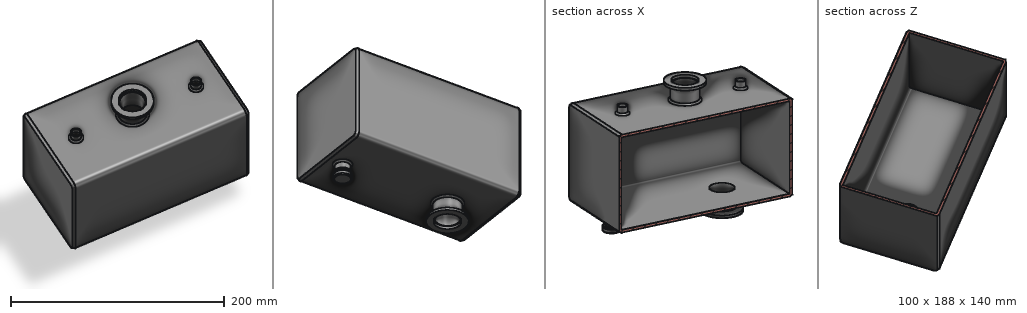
import cadquery as cq
import math

TANK_LENGTH = 188.0
TANK_WIDTH = 100.0
WALL = 3.0
TUBE_CORNER_RADIUS = 6.0
END_INSET = 1.7
END_CORNER_RADIUS = 5.0
WELD_LEG = 1.9

OVERALL_HEIGHT = 140.0
FLANGE_DIAMETER = 40.0
FLANGE_RIM = 2.8
FLANGE_TAPER_ANGLE = 15.0
NECK_DIAMETER = 28.0
NECK_BORE = 24.0
SEAT_DIAMETER = 26.1
SEAT_DEPTH = 3.0
TOP_FLANGE_Y = -3.8
BOTTOM_FLANGE_Y = -43.8

STUB_DIAMETER = 10.2
STUB_BORE = 8.0
STUB_HEIGHT = 7.9
STUB_OFFSET_Y = 64.0

PLUG_Y = 75.5
PLUG_DIAMETER = 15.0
PLUG_SHANK = 7.9
PLUG_NECK_DIAMETER = 12.0
PLUG_NECK = 3.0
PLUG_HEAD_DIAMETER = 18.0
PLUG_HEAD = 5.5
PLUG_CHAMFER = 1.1

HALF_WIDTH = TANK_WIDTH / 2
TUBE_LENGTH = TANK_LENGTH - 2 * WALL
FLANGE_HEIGHT = OVERALL_HEIGHT / 2 - HALF_WIDTH


def bar_along_y(width, length, corner_radius):
    """Square bar centred on the origin with its long edges rounded."""
    return cq.Workplane("XY").box(width, length, width).edges("|Y").fillet(corner_radius)


def revolved(profile):
    """Solid of revolution about Z from (radius, height) points that start and end on the axis."""
    return cq.Workplane("XZ").polyline(profile).close().revolve(360, (0, 0), (0, 1))


def on_top(shape, y):
    """Move a fitting built on Z = 0 onto the top wall."""
    return shape.translate((0, y, HALF_WIDTH))


def on_bottom(shape, y):
    """Turn a fitting built on Z = 0 over and move it onto the bottom wall."""
    return shape.rotate((0, 0, 0), (1, 0, 0), 180).translate((0, y, -HALF_WIDTH))


def welded_base(diameter):
    """Profile start: from the inner face of the wall up to the top of the weld cone."""
    radius = diameter / 2
    return [
        (0, -WALL),
        (radius, -WALL),
        (radius + WELD_LEG, 0),
        (radius, WELD_LEG),
    ]


def bore(diameter, height):
    """Cutter for a round passage from the tank cavity to the given height."""
    return cq.Workplane("XY").workplane(offset=-WALL).circle(diameter / 2).extrude(height + WALL)


def end_plate():
    """End plate whose base sits on Z = 0 and whose sides lean inward."""
    lean = math.degrees(math.atan(END_INSET / WALL))
    base = cq.Sketch().rect(TANK_WIDTH, TANK_WIDTH).vertices().fillet(END_CORNER_RADIUS)
    return cq.Workplane("XY").placeSketch(base).extrude(WALL, taper=lean)


def tank():
    body = bar_along_y(TANK_WIDTH, TUBE_LENGTH, TUBE_CORNER_RADIUS)
    for turn in (-90, 90):
        plate = end_plate().translate((0, 0, TUBE_LENGTH / 2))
        body = body.union(plate.rotate((0, 0, 0), (1, 0, 0), turn))
    return body


def cavity():
    return bar_along_y(TANK_WIDTH - 2 * WALL, TUBE_LENGTH, TUBE_CORNER_RADIUS - WALL)


def flange_neck():
    rim_radius = FLANGE_DIAMETER / 2
    neck_radius = NECK_DIAMETER / 2
    rim_base = FLANGE_HEIGHT - FLANGE_RIM
    taper = (rim_radius - neck_radius) * math.tan(math.radians(FLANGE_TAPER_ANGLE))
    return revolved(welded_base(NECK_DIAMETER) + [
        (neck_radius, rim_base - taper),
        (rim_radius, rim_base),
        (rim_radius, FLANGE_HEIGHT),
        (0, FLANGE_HEIGHT),
    ])


def flange_passage():
    seat = (
        cq.Workplane("XY")
        .workplane(offset=FLANGE_HEIGHT - SEAT_DEPTH)
        .circle(SEAT_DIAMETER / 2)
        .extrude(SEAT_DEPTH)
    )
    return bore(NECK_BORE, FLANGE_HEIGHT).union(seat)


def stub():
    return revolved(welded_base(STUB_DIAMETER) + [
        (STUB_DIAMETER / 2, STUB_HEIGHT),
        (0, STUB_HEIGHT),
    ])


def plug():
    head_radius = PLUG_HEAD_DIAMETER / 2
    head_base = PLUG_SHANK + PLUG_NECK
    head_top = head_base + PLUG_HEAD
    return revolved(welded_base(PLUG_DIAMETER) + [
        (PLUG_DIAMETER / 2, PLUG_SHANK),
        (PLUG_NECK_DIAMETER / 2, PLUG_SHANK),
        (PLUG_NECK_DIAMETER / 2, head_base),
        (head_radius - PLUG_CHAMFER, head_base),
        (head_radius, head_base + PLUG_CHAMFER),
        (head_radius, head_top - PLUG_CHAMFER),
        (head_radius - PLUG_CHAMFER, head_top),
        (0, head_top),
    ])


result = tank()
result = result.union(on_top(flange_neck(), TOP_FLANGE_Y))
result = result.union(on_bottom(flange_neck(), BOTTOM_FLANGE_Y))
result = result.union(on_bottom(plug(), PLUG_Y))
for stub_y in (-STUB_OFFSET_Y, STUB_OFFSET_Y):
    result = result.union(on_top(stub(), stub_y))

result = result.cut(cavity())
result = result.cut(on_top(flange_passage(), TOP_FLANGE_Y))
result = result.cut(on_bottom(flange_passage(), BOTTOM_FLANGE_Y))
for stub_y in (-STUB_OFFSET_Y, STUB_OFFSET_Y):
    result = result.cut(on_top(bore(STUB_BORE, STUB_HEIGHT), stub_y))